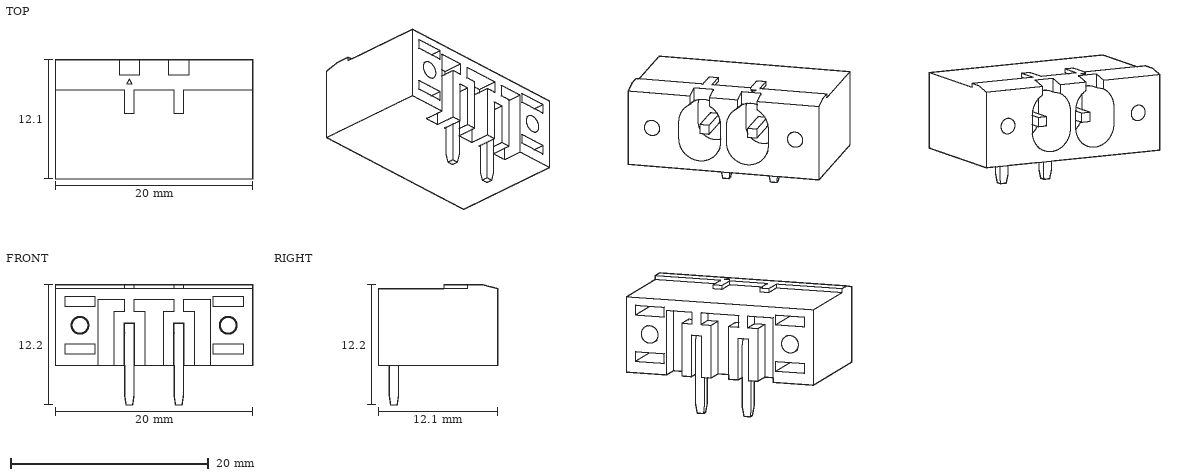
import cadquery as cq

WIDTH = 20.0
DEPTH = 12.1
BODY_HEIGHT = 7.8
MID_HEIGHT = 4.08
BACK = DEPTH

LIP_RISE = 0.4
LIP_TOP = BODY_HEIGHT + LIP_RISE
LIP_LENGTH = 3.05
LIP_SLOPE_LENGTH = 1.55
RIB_LENGTH = 2.4
RIB_WIDTH = 0.95

MARK_WIDTH = 0.52
MARK_HEIGHT = 0.48
MARK_DEPTH = 0.1
MARK_BASE_FROM_BACK = 2.45

PITCH = 5.0
PIN_POSITIONS = (-PITCH / 2, PITCH / 2)
PIN_SIZE = 0.95
PIN_DROP = 4.0
PIN_TIP_LENGTH = 0.95
PIN_TIP_SIZE = 0.68
PIN_FRONT = 1.1
PIN_TOP = 4.25
PIN_END = 10.2
PIN_BEND_RADIUS = 0.95

POCKET_WIDTH = 11.4
POCKET_TOP = 6.68
POCKET_DEPTH = 2.18
GUARD_WIDTH = 3.15
GUARD_TOP = 5.45
CHANNEL_CLEARANCE = 0.05

FLANGE_POSITIONS = (-1.5 * PITCH, 1.5 * PITCH)
SCREW_BORE = 1.8
SCREW_HOLE = 1.6
SCREW_BORE_DEPTH = 6.0
SLOT_WIDTH = 3.08
SLOT_HEIGHT = 1.0
SLOT_SPACING = 4.8
SLOT_DEPTH = 6.0

CAVITY_WIDTH = 4.4
CAVITY_HEIGHT = 6.15
CAVITY_DEPTH = 6.0
CAVITY_FLARE = 4.0
NOTCH_WIDTH = 2.05


def box(x_mid, width, y_range, z_range):
    """Block centred on x_mid, spanning the given Y and Z ranges."""
    depth = y_range[1] - y_range[0]
    height = z_range[1] - z_range[0]
    corner = (x_mid - width / 2, y_range[0], z_range[0])
    return cq.Workplane("XY").box(width, depth, height, centered=False).translate(corner)


def make_housing():
    """Block and sloped lip extruded across the width, plus the ribs."""
    lip_front = BACK - LIP_LENGTH
    profile = [
        (0, 0),
        (BACK, 0),
        (BACK, BODY_HEIGHT),
        (BACK - LIP_SLOPE_LENGTH, LIP_TOP),
        (lip_front, LIP_TOP),
        (lip_front, BODY_HEIGHT),
        (0, BODY_HEIGHT),
    ]
    housing = cq.Workplane("YZ").polyline(profile).close().extrude(WIDTH / 2, both=True)
    for x in PIN_POSITIONS:
        rib = box(x, RIB_WIDTH, (lip_front - RIB_LENGTH, lip_front), (BODY_HEIGHT, LIP_TOP))
        housing = housing.union(rib)
    return housing


def make_relief_pocket():
    """Pocket open at the front and bottom, minus guards and their webs, plus pin channels."""
    pocket = box(0, POCKET_WIDTH, (0, POCKET_DEPTH), (0, POCKET_TOP))
    channel_width = PIN_SIZE + 2 * CHANNEL_CLEARANCE
    for x in PIN_POSITIONS:
        guard = box(x, GUARD_WIDTH, (0, POCKET_DEPTH), (0, GUARD_TOP))
        web = box(x, RIB_WIDTH, (0, POCKET_DEPTH), (GUARD_TOP, POCKET_TOP))
        channel = box(x, channel_width, (0, POCKET_DEPTH), (0, PIN_TOP + CHANNEL_CLEARANCE))
        pocket = pocket.cut(guard).cut(web).union(channel)
    return pocket


def make_cavity(x):
    """Flared mating cavity with a key notch open to the top."""
    mouth = cq.Workplane("XZ", origin=(x, BACK, MID_HEIGHT))
    cavity = mouth.slot2D(CAVITY_HEIGHT, CAVITY_WIDTH, 90).extrude(CAVITY_DEPTH, taper=CAVITY_FLARE)
    notch = box(x, NOTCH_WIDTH, (BACK - LIP_SLOPE_LENGTH, BACK), (MID_HEIGHT, LIP_TOP))
    return cavity.union(notch)


def make_flange_cuts(x):
    """Stepped screw hole through the flange and the slots above and below it."""
    face = cq.Workplane("XZ", origin=(x, 0, MID_HEIGHT))
    cuts = face.circle(SCREW_HOLE / 2).extrude(-DEPTH)
    cuts = cuts.union(face.circle(SCREW_BORE / 2).extrude(-SCREW_BORE_DEPTH))
    for side in (-1, 1):
        slot_middle = MID_HEIGHT + side * SLOT_SPACING / 2
        slot_range = (slot_middle - SLOT_HEIGHT / 2, slot_middle + SLOT_HEIGHT / 2)
        cuts = cuts.union(box(x, SLOT_WIDTH, (0, SLOT_DEPTH), slot_range))
    return cuts


def make_mark(x):
    """Triangle pointing at the mating edge."""
    base = BACK - MARK_BASE_FROM_BACK
    corners = [(x - MARK_WIDTH / 2, base), (x + MARK_WIDTH / 2, base), (x, base + MARK_HEIGHT)]
    return cq.Workplane("XY", origin=(0, 0, LIP_TOP)).polyline(corners).close().extrude(-MARK_DEPTH)


def make_pin(x):
    """Pin with a horizontal contact, a rounded bend and a tapered solder tip."""
    contact = box(x, PIN_SIZE, (PIN_FRONT, PIN_END), (PIN_TOP - PIN_SIZE, PIN_TOP))
    leg_range = (PIN_FRONT, PIN_FRONT + PIN_SIZE)
    leg = box(x, PIN_SIZE, leg_range, (PIN_TIP_LENGTH - PIN_DROP, PIN_TOP))
    bend = contact.union(leg).edges("|X and <Y and >Z").fillet(PIN_BEND_RADIUS)
    tip = (
        cq.Workplane("XY", origin=(x, PIN_FRONT + PIN_SIZE / 2, PIN_TIP_LENGTH - PIN_DROP))
        .rect(PIN_SIZE, PIN_SIZE)
        .workplane(offset=-PIN_TIP_LENGTH)
        .rect(PIN_TIP_SIZE, PIN_TIP_SIZE)
        .loft(ruled=True)
    )
    return bend.union(tip)


result = make_housing().cut(make_relief_pocket()).cut(make_mark(PIN_POSITIONS[0]))
for flange_x in FLANGE_POSITIONS:
    result = result.cut(make_flange_cuts(flange_x))
for pin_x in PIN_POSITIONS:
    result = result.cut(make_cavity(pin_x)).union(make_pin(pin_x))